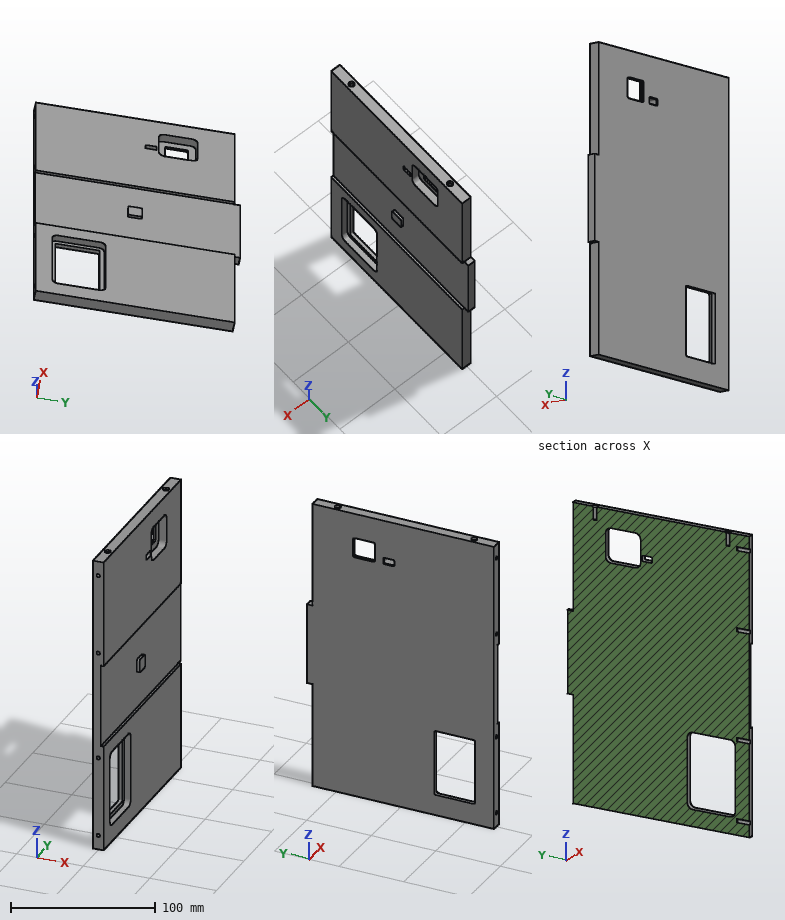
import cadquery as cq

thickness = 8.0
height = 222.8
overall_width = 144.8
tab_reach = 4.2
panel_width = overall_width - tab_reach
left_edge_y = panel_width / 2
right_edge_y = -panel_width / 2

tab_thickness = 6.0
tab_height = 62.2

pad_size = 10.0
pad_center_z = 1.1
pad_corner_radius = 1.23

recess_corner_radius = 4.0

window_width = 31.5
window_height = 50.4
window_center_y = -39.9
window_center_z = -70.2
window_corner_radius = 1.23
window_lip_thickness = 3.1
window_recess_margin = 3.1

opening_chamfer = 0.55
square_width = 16.3
square_height = 14.3
square_center_y = 30.3
square_center_z = 84.7
square_corner_radius = 1.23
square_lip_thickness = 2.0
square_recess_margin = 5.5
slot_width = 7.8
slot_height = 4.0
slot_center_y = 11.1
slot_center_z = 79.8
slot_corner_radius = 1.0

screw_diameter = 2.5
screw_depth = 10.0
screw_x = thickness / 2
side_screw_heights = (40.5, 100.5)
top_screw_spacing = 105.5
top_screw_middle_y = -0.2
countersink_diameter = 4.5
countersink_depth = (countersink_diameter - screw_diameter) / 2


def box(x_start, x_end, width, tall, center_y=0.0, center_z=0.0):
    """Block between two X positions, centred on a point of the YZ plane."""
    return (
        cq.Workplane("YZ", origin=(x_start, center_y, center_z))
        .rect(width, tall)
        .extrude(x_end - x_start)
    )


def rounded_box(x_start, x_end, width, tall, center_y, center_z, radius):
    return box(x_start, x_end, width, tall, center_y, center_z).edges("|X").fillet(radius)


def cut_chamfered_opening(body, width, tall, center_y, center_z, radius):
    """Cut a rounded opening right through and chamfer its rim on the front face at x = 0."""
    body = body.cut(rounded_box(0, thickness, width, tall, center_y, center_z, radius))
    reach = 0.2
    rim = cq.selectors.BoxSelector(
        (-reach, center_y - width / 2 - reach, center_z - tall / 2 - reach),
        (reach, center_y + width / 2 + reach, center_z + tall / 2 + reach),
    )
    return body.edges(rim).chamfer(opening_chamfer)


def cut_back_recess(body, width, tall, center_y, center_z, lip, margin):
    """Widen an opening by a margin on every side, from the back down to a front lip."""
    recess = rounded_box(
        lip, thickness, width + 2 * margin, tall + 2 * margin, center_y, center_z, recess_corner_radius
    )
    return body.cut(recess)


panel = box(0, thickness, panel_width, height)
tab = box(0, tab_thickness, tab_reach, tab_height, left_edge_y + tab_reach / 2)
panel = panel.union(tab)

panel = panel.cut(box(tab_thickness, thickness, panel_width, tab_height))
pad = rounded_box(tab_thickness, thickness, pad_size, pad_size, 0, pad_center_z, pad_corner_radius)
panel = panel.union(pad)

window = rounded_box(
    0, thickness, window_width, window_height, window_center_y, window_center_z, window_corner_radius
)
panel = panel.cut(window)
panel = cut_back_recess(
    panel,
    window_width,
    window_height,
    window_center_y,
    window_center_z,
    window_lip_thickness,
    window_recess_margin,
)

panel = cut_chamfered_opening(
    panel, slot_width, slot_height, slot_center_y, slot_center_z, slot_corner_radius
)
panel = cut_chamfered_opening(
    panel, square_width, square_height, square_center_y, square_center_z, square_corner_radius
)
panel = cut_back_recess(
    panel,
    square_width,
    square_height,
    square_center_y,
    square_center_z,
    square_lip_thickness,
    square_recess_margin,
)

for screw_height in side_screw_heights:
    for side in (-1, 1):
        drill = (
            cq.Workplane("XZ", origin=(screw_x, right_edge_y, side * screw_height))
            .circle(screw_diameter / 2)
            .extrude(-screw_depth)
        )
        panel = panel.cut(drill)

for side in (-1, 1):
    screw_y = top_screw_middle_y + side * top_screw_spacing / 2
    top_mouth = cq.Workplane("XY", origin=(screw_x, screw_y, height / 2))
    panel = panel.cut(top_mouth.circle(screw_diameter / 2).extrude(-screw_depth))
    countersink = (
        top_mouth.circle(countersink_diameter / 2)
        .workplane(offset=-countersink_depth)
        .circle(screw_diameter / 2)
        .loft()
    )
    panel = panel.cut(countersink)

result = panel